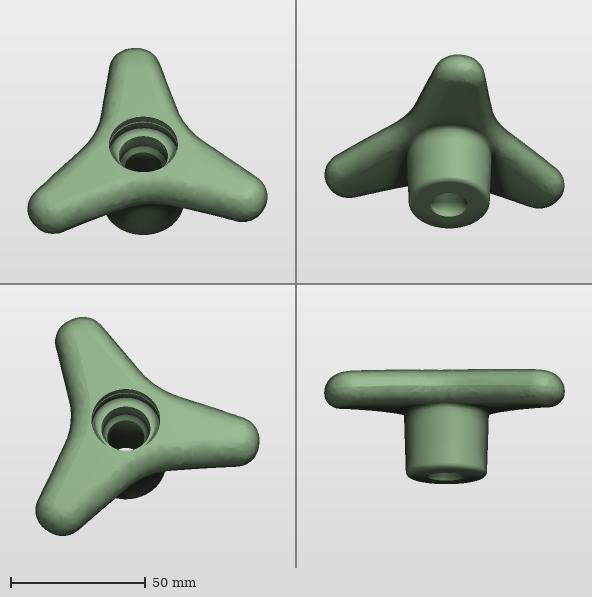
import cadquery as cq
import math

ARM_COUNT = 3
ARM_ANGLE = 360 / ARM_COUNT

tip_reach = 49.9
tip_radius = 9.0
tip_flat = 1.5
arm_taper = 12.0
waist_distance = 20.7

dome_radius = 358.4
dome_apex = 38.0
arm_thickness = 13.2
upper_round = 7.4
lower_round = 5.6

hub_base_radius = 15.05
hub_taper = 1.8
hub_base_round = 2.0
hub_blend = 1.5
seam_zone = 1.3

recess_diameter = 25.6
recess_floor = 30.5
groove_height = 34.4
groove_radius = 0.3
pocket_top_diameter = 18.3
pocket_bottom_diameter = 17.0
pocket_depth = 5.6
through_diameter = 13.8

CUT_MARGIN = 0.9


def rotated(point, degrees):
    """Turn a plan point about the hub axis."""
    angle = math.radians(degrees)
    x, y = point
    return (
        x * math.cos(angle) - y * math.sin(angle),
        x * math.sin(angle) + y * math.cos(angle),
    )


def arm_outline():
    """Closed plan outline: straight tapering arms joined by tangent hollows."""
    taper = math.radians(arm_taper)
    normal = (math.sin(taper), math.cos(taper))
    corner_x = tip_reach - tip_radius
    corner_y = tip_flat / 2

    flat_end = (tip_reach, corner_y)
    half_turn = (math.pi / 2 - taper) / 2
    corner_middle = (
        corner_x + tip_radius * math.cos(half_turn),
        corner_y + tip_radius * math.sin(half_turn),
    )
    side_start = (corner_x + tip_radius * normal[0], corner_y + tip_radius * normal[1])

    half_gap = math.radians(ARM_ANGLE / 2)
    side_offset = side_start[0] * normal[0] + side_start[1] * normal[1]
    lean = math.cos(half_gap) * normal[0] + math.sin(half_gap) * normal[1]
    hollow_radius = (waist_distance * lean - side_offset) / (1 - lean)
    hollow_distance = waist_distance + hollow_radius
    hollow_start = (
        hollow_distance * math.cos(half_gap) - hollow_radius * normal[0],
        hollow_distance * math.sin(half_gap) - hollow_radius * normal[1],
    )
    hollow_middle = rotated((waist_distance, 0), ARM_ANGLE / 2)

    def mirrored(point):
        return (point[0], -point[1])

    outline = cq.Workplane("XY").moveTo(*mirrored(flat_end))
    for index in range(ARM_COUNT):
        turn = index * ARM_ANGLE
        next_turn = turn + ARM_ANGLE
        outline = (
            outline.lineTo(*rotated(flat_end, turn))
            .threePointArc(rotated(corner_middle, turn), rotated(side_start, turn))
            .lineTo(*rotated(hollow_start, turn))
            .threePointArc(
                rotated(hollow_middle, turn),
                rotated(mirrored(hollow_start), next_turn),
            )
            .lineTo(*rotated(mirrored(side_start), next_turn))
            .threePointArc(
                rotated(mirrored(corner_middle), next_turn),
                rotated(mirrored(flat_end), next_turn),
            )
        )
    return outline.close()


def dome(apex):
    """Ball whose top reaches the given height on the hub axis."""
    ball = cq.Workplane("XY").sphere(dome_radius)
    return ball.rotate((0, 0, 0), (0, 1, 0), 90).translate((0, 0, apex - dome_radius))


def arm_body():
    """Plate of even thickness between two domes, with fully rounded sides."""
    plate = arm_outline().extrude(dome_apex + CUT_MARGIN)
    plate = plate.intersect(dome(dome_apex)).cut(dome(dome_apex - arm_thickness))
    plate = plate.faces(">Z").edges().fillet(upper_round)
    return plate.faces("<Z").edges().fillet(lower_round)


def hub():
    """Slightly conical hub, rounded at its foot."""
    height = dome_apex - arm_thickness / 2
    top_radius = hub_base_radius + height * math.tan(math.radians(hub_taper))
    profile = cq.Workplane("XZ").polyline(
        [(0, 0), (hub_base_radius, 0), (top_radius, height), (0, height)]
    )
    cone = profile.close().revolve(360, (0, 0, 0), (0, 1, 0))
    return cone.faces("<Z").edges().fillet(hub_base_round)


def bore():
    """Cutting body for the cap recess, its snap groove, the pocket and the through hole."""
    recess = recess_diameter / 2
    pocket_top = pocket_top_diameter / 2
    pocket_bottom = pocket_bottom_diameter / 2
    through = through_diameter / 2
    pocket_floor = recess_floor - pocket_depth
    seat_depth = pocket_bottom - through
    top = dome_apex + CUT_MARGIN
    return (
        cq.Workplane("XZ")
        .moveTo(0, -CUT_MARGIN)
        .lineTo(through, -CUT_MARGIN)
        .lineTo(through, pocket_floor - seat_depth)
        .lineTo(pocket_bottom, pocket_floor)
        .lineTo(pocket_top, recess_floor)
        .lineTo(recess, recess_floor)
        .lineTo(recess, groove_height - groove_radius)
        .threePointArc((recess + groove_radius, groove_height), (recess, groove_height + groove_radius))
        .lineTo(recess, top)
        .lineTo(0, top)
        .close()
        .revolve(360, (0, 0, 0), (0, 1, 0))
    )


def joined_body():
    """Arms and hub in one, with a blend where the hub wall meets the underside."""
    body = arm_body().union(hub())
    underside = dome_apex - arm_thickness
    reach = waist_distance - lower_round + seam_zone
    seam = cq.selectors.BoxSelector(
        (-reach, -reach, underside - seam_zone),
        (reach, reach, underside + seam_zone),
        boundingbox=True,
    )
    return body.edges(seam).fillet(hub_blend)


result = joined_body().cut(bore())